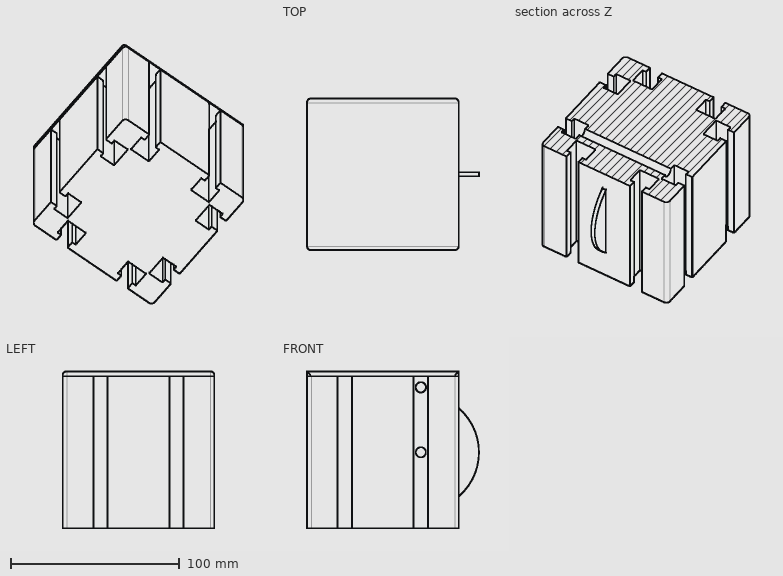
import cadquery as cq

SIDE = 90.0
PROFILE_HEIGHT = 90.0
EDGE_RADIUS = 2.5

SLOT_OFFSET = SIDE / 4
SLOT_OPENING = 8.2
SLOT_LIP = 4.5
LIP_CHAMFER = 0.3
SLOT_UNDERCUT = 2.6
SLOT_DEPTH = 14.5
SLOT_INNER_WIDTH = SLOT_OPENING + 2 * SLOT_UNDERCUT

CAP_THICKNESS = 3.0

WHEEL_REACH = 12.0
WHEEL_THICKNESS = 2.6
AXLE_X = SLOT_OFFSET
AXLE_Z = PROFILE_HEIGHT / 2
AXLE_DIAMETER = 6.0
AXLE_LENGTH = SIDE - 2 * SLOT_DEPTH
WHEEL_RADIUS = SIDE / 2 + WHEEL_REACH - AXLE_X

CROSS_HOLE_DIAMETER = 6.0
CROSS_HOLE_Z = 83.5


def rounded_block(height):
    """Square block standing on Z = 0 with its four upright edges rounded."""
    return cq.Workplane("XY").rect(SIDE, SIDE).extrude(height).edges("|Z").fillet(EDGE_RADIUS)


def cylinder_along_y(diameter, length, x, z):
    """Cylinder parallel to Y, centred on Y = 0."""
    return (
        cq.Workplane("XZ", origin=(x, length / 2, z))
        .circle(diameter / 2)
        .extrude(length)
    )


def t_slot(offset):
    """Full-height T-slot cutter opening on the -Y side, centred on X = offset."""
    half_opening = SLOT_OPENING / 2
    half_inner = SLOT_INNER_WIDTH / 2
    mouth_y = -SIDE / 2
    lip_y = mouth_y + SLOT_LIP
    floor_y = mouth_y + SLOT_DEPTH
    half_outline = (
        cq.Workplane("XY")
        .moveTo(0, mouth_y)
        .lineTo(half_opening + LIP_CHAMFER, mouth_y)
        .lineTo(half_opening, mouth_y + LIP_CHAMFER)
        .lineTo(half_opening, lip_y)
        .lineTo(half_inner, lip_y)
        .lineTo(half_inner, floor_y)
        .lineTo(0, floor_y)
    )
    return half_outline.mirrorY().extrude(PROFILE_HEIGHT).translate((offset, 0, 0))


def make_wheel():
    """Flat disc that sticks out of the +X side."""
    return cylinder_along_y(2 * WHEEL_RADIUS, WHEEL_THICKNESS, AXLE_X, AXLE_Z).cut(make_axle())


def make_axle():
    """Pin between the floors of the -Y and +Y slots."""
    return cylinder_along_y(AXLE_DIAMETER, AXLE_LENGTH, AXLE_X, AXLE_Z)


def make_profile():
    """Slotted profile with the cross hole and the recess for wheel and axle."""
    profile = rounded_block(PROFILE_HEIGHT)
    for turn in (0, 90, 180, 270):
        for offset in (-SLOT_OFFSET, SLOT_OFFSET):
            profile = profile.cut(t_slot(offset).rotate((0, 0, 0), (0, 0, 1), turn))
    profile = profile.cut(cylinder_along_y(CROSS_HOLE_DIAMETER, SIDE, AXLE_X, CROSS_HOLE_Z))
    return profile.cut(make_wheel()).cut(make_axle())


def make_cap():
    """Flat cap whose top edges are rounded on the -Y and +Y sides only."""
    rounded_along_x = (
        cq.Workplane("XY")
        .box(SIDE, SIDE, CAP_THICKNESS, centered=(True, True, False))
        .edges("|X and >Z")
        .fillet(EDGE_RADIUS)
    )
    return rounded_block(CAP_THICKNESS).intersect(rounded_along_x).translate((0, 0, PROFILE_HEIGHT))


profile = make_profile()
cap = make_cap()
wheel = make_wheel()
axle = make_axle()

bodies = [profile, cap, wheel, axle]
result = cq.Compound.makeCompound([body.solids().val() for body in bodies])